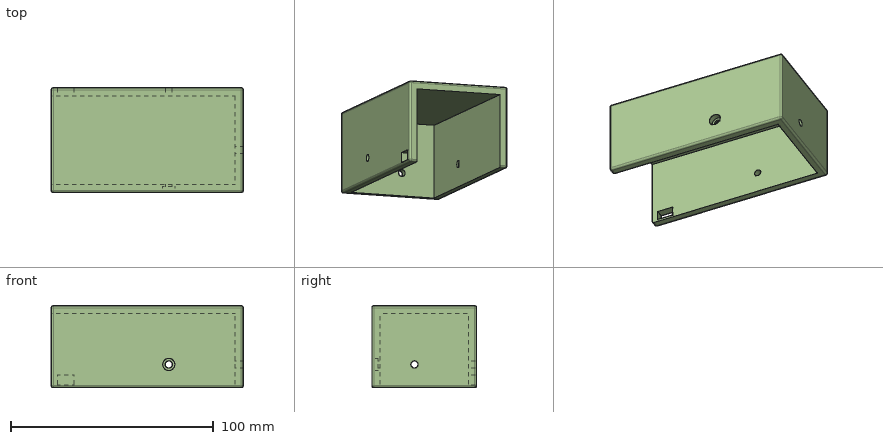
import cadquery as cq

length = 94.75
width = 51.7
height = 40.5
wall = 4.0
edge_radius = 1.0

hole_diameter = 3.4
counterbore_diameter = 6.0
counterbore_depth = 3.0
hole_height = 11.5
side_hole_x = 10.6
end_hole_y = -4.8

window_length = 8.15
window_height = 4.9
window_end_offset = 3.0
window_bottom = 1.2


def rounded_block():
    block = cq.Workplane("XY").box(length, width, height, centered=(True, True, False))
    return block.edges().fillet(edge_radius)


def cavity():
    """Space inside the cover, open at the bottom and at the -X end."""
    return (
        cq.Workplane("XY")
        .box(length - wall, width - 2 * wall, height - wall, centered=(False, True, False))
        .translate((-length / 2, 0, 0))
    )


def side_holes():
    """Hole through both side walls, counterbored on the outside of the -Y wall."""
    through = (
        cq.Workplane("XZ")
        .center(side_hole_x, hole_height)
        .circle(hole_diameter / 2)
        .extrude(width / 2, both=True)
    )
    counterbore = (
        cq.Workplane("XZ", origin=(0, -width / 2, 0))
        .center(side_hole_x, hole_height)
        .circle(counterbore_diameter / 2)
        .extrude(-counterbore_depth)
    )
    return through.union(counterbore)


def end_hole():
    """Hole through the closed +X end wall."""
    return (
        cq.Workplane("YZ", origin=(length / 2 - wall, 0, 0))
        .center(end_hole_y, hole_height)
        .circle(hole_diameter / 2)
        .extrude(wall)
    )


def side_window():
    return (
        cq.Workplane("XY")
        .box(window_length, wall, window_height, centered=False)
        .translate((window_end_offset - length / 2, width / 2 - wall, window_bottom))
    )


result = rounded_block().cut(cavity()).cut(side_holes()).cut(end_hole()).cut(side_window())